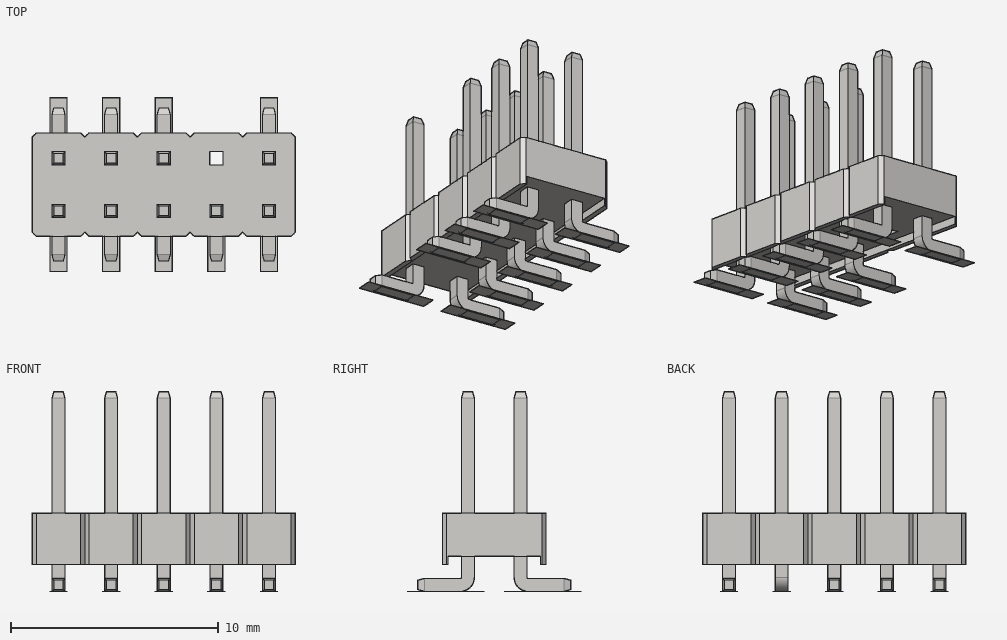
import cadquery as cq

COLUMNS = 5
PITCH = 2.54
EMPTY_COLUMN = 3
EMPTY_ROW_SIDE = 1

BODY_LENGTH = COLUMNS * PITCH
BODY_WIDTH = 5.0
BODY_TOP_Z = 3.78
SKIRT_BOTTOM_Z = 1.31
CHANNEL_ROOF_Z = 1.7
SKIRT_THICKNESS = 0.28
CELL_CHAMFER = 0.2

PIN_SIZE = 0.64
PIN_TOP_Z = 9.65
FOOT_REACH = 3.7
TIP_LENGTH = 0.32
TIP_INSET = 0.09
INNER_BEND_RADIUS = 0.05
OUTER_BEND_RADIUS = INNER_BEND_RADIUS + PIN_SIZE

PAD_WIDTH = 0.84
PAD_OUTER_Y = 8.4 / 2
PAD_INNER_Y = 0.5
PAD_THICKNESS = 0.01

ROW_OFFSET = PITCH / 2
TIP_SIZE = PIN_SIZE - 2 * TIP_INSET
FOOT_BOTTOM_Z = PAD_THICKNESS / 2


def column_x(column):
    return (column - (COLUMNS - 1) / 2) * PITCH


def make_body():
    """Row of chamfered cells with a channel along the underside and a hole for the absent pin."""
    body_height = BODY_TOP_Z - SKIRT_BOTTOM_Z
    cell = (
        cq.Workplane("XY")
        .box(PITCH, BODY_WIDTH, body_height, centered=(True, True, False))
        .edges("|Z")
        .chamfer(CELL_CHAMFER)
        .translate((0, 0, SKIRT_BOTTOM_Z))
    )
    body = cell.translate((column_x(0), 0, 0))
    for column in range(1, COLUMNS):
        body = body.union(cell.translate((column_x(column), 0, 0)))

    channel = (
        cq.Workplane("XY")
        .workplane(offset=SKIRT_BOTTOM_Z)
        .rect(BODY_LENGTH, BODY_WIDTH - 2 * SKIRT_THICKNESS)
        .extrude(CHANNEL_ROOF_Z - SKIRT_BOTTOM_Z)
    )
    empty_hole = (
        cq.Workplane("XY")
        .center(column_x(EMPTY_COLUMN), EMPTY_ROW_SIDE * ROW_OFFSET)
        .rect(PIN_SIZE, PIN_SIZE)
        .extrude(BODY_TOP_Z)
    )
    return body.cut(channel).cut(empty_hole)


def make_tip(base_plane):
    """Square taper that ends a pin, growing along the plane normal."""
    return (
        cq.Workplane(base_plane)
        .rect(PIN_SIZE, PIN_SIZE)
        .workplane(offset=TIP_LENGTH)
        .rect(TIP_SIZE, TIP_SIZE)
        .loft()
    )


def make_pin():
    """L-shaped pin of the +Y row, centred on X = 0, with its pad."""
    inner_y = ROW_OFFSET - PIN_SIZE / 2
    outer_y = ROW_OFFSET + PIN_SIZE / 2
    shank_top_z = PIN_TOP_Z - TIP_LENGTH
    foot_end_y = FOOT_REACH - TIP_LENGTH
    foot_top_z = FOOT_BOTTOM_Z + PIN_SIZE

    shank_and_foot = (
        cq.Workplane("YZ")
        .moveTo(inner_y, shank_top_z)
        .lineTo(outer_y, shank_top_z)
        .lineTo(outer_y, foot_top_z + INNER_BEND_RADIUS)
        .radiusArc((outer_y + INNER_BEND_RADIUS, foot_top_z), -INNER_BEND_RADIUS)
        .lineTo(foot_end_y, foot_top_z)
        .lineTo(foot_end_y, FOOT_BOTTOM_Z)
        .lineTo(inner_y + OUTER_BEND_RADIUS, FOOT_BOTTOM_Z)
        .radiusArc((inner_y, FOOT_BOTTOM_Z + OUTER_BEND_RADIUS), OUTER_BEND_RADIUS)
        .close()
        .extrude(PIN_SIZE / 2, both=True)
    )
    top_plane = cq.Plane(origin=(0, ROW_OFFSET, shank_top_z), xDir=(1, 0, 0), normal=(0, 0, 1))
    foot_plane = cq.Plane(
        origin=(0, foot_end_y, FOOT_BOTTOM_Z + PIN_SIZE / 2),
        xDir=(1, 0, 0),
        normal=(0, 1, 0),
    )
    pad = (
        cq.Workplane("XY")
        .center(0, (PAD_INNER_Y + PAD_OUTER_Y) / 2)
        .rect(PAD_WIDTH, PAD_OUTER_Y - PAD_INNER_Y)
        .extrude(PAD_THICKNESS)
    )
    return shank_and_foot.union(make_tip(top_plane)).union(make_tip(foot_plane)).union(pad)


result = make_body()
pin = make_pin()
pins_by_row = {1: pin, -1: pin.mirror("XZ")}
for row_side, row_pin in pins_by_row.items():
    for column in range(COLUMNS):
        if (column, row_side) != (EMPTY_COLUMN, EMPTY_ROW_SIDE):
            result = result.union(row_pin.translate((column_x(column), 0, 0)))